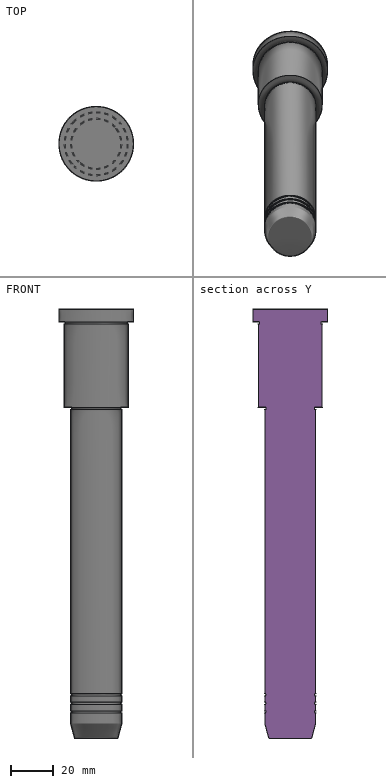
import cadquery as cq
import math

TOTAL_LENGTH = 201.0
HEAD_HEIGHT = 6.0
COLLAR_LENGTH = 40.0

HEAD_DIAMETER = 35.0
COLLAR_DIAMETER = 30.0
SHAFT_DIAMETER = 24.0

GROOVE_RADIUS = 0.5

RELIEF_WIDTH = 1.0
RELIEF_DEPTH = 0.5

OIL_GROOVE_COUNT = 3
OIL_GROOVE_PITCH = 4.0
LOWEST_GROOVE_HEIGHT = 12.5

TIP_LENGTH = 7.0
TIP_ANGLE = 15.0
TIP_FILLET = 0.5

HEAD_BOTTOM = TOTAL_LENGTH - HEAD_HEIGHT
COLLAR_BOTTOM = HEAD_BOTTOM - COLLAR_LENGTH


def make_cylinder(diameter, bottom, top):
    """Solid cylinder on the Z axis between two heights."""
    return cq.Workplane("XY").workplane(offset=bottom).circle(diameter / 2).extrude(top - bottom)


def cut_round_groove(body, diameter, center_height):
    """Cut a half-round groove around a cylindrical section of the given diameter."""
    cutter = (
        cq.Workplane("XZ")
        .center(diameter / 2, center_height)
        .circle(GROOVE_RADIUS)
        .revolve(360, (-diameter / 2, 0, 0), (-diameter / 2, 1, 0))
    )
    return body.cut(cutter)


def cut_square_groove(body, diameter, depth, bottom, width):
    """Cut a square groove around a cylindrical section of the given diameter."""
    ring = make_cylinder(diameter, bottom, bottom + width)
    core = make_cylinder(diameter - 2 * depth, bottom, bottom + width)
    return body.cut(ring.cut(core))


def make_tip():
    """Tapered lead-in, narrowest at the lower end, with a rounded lower edge."""
    shaft_radius = SHAFT_DIAMETER / 2
    tip_radius = shaft_radius - TIP_LENGTH * math.tan(math.radians(TIP_ANGLE))
    cone = (
        cq.Workplane("XZ")
        .lineTo(tip_radius, 0)
        .lineTo(shaft_radius, TIP_LENGTH)
        .lineTo(0, TIP_LENGTH)
        .close()
        .revolve(360, (0, 0, 0), (0, 1, 0))
    )
    return cone.faces("<Z").edges().fillet(TIP_FILLET)


def make_pin():
    """Head, collar, shaft and tip stacked on one axis."""
    head = make_cylinder(HEAD_DIAMETER, HEAD_BOTTOM, TOTAL_LENGTH)
    collar = make_cylinder(COLLAR_DIAMETER, COLLAR_BOTTOM, HEAD_BOTTOM)
    shaft = make_cylinder(SHAFT_DIAMETER, TIP_LENGTH, COLLAR_BOTTOM)
    return head.union(collar).union(shaft).union(make_tip())


def cut_head_relief(body):
    """Cut the half-round relief groove around the collar, directly below the head."""
    return cut_round_groove(body, COLLAR_DIAMETER, HEAD_BOTTOM - GROOVE_RADIUS)


def cut_collar_relief(body):
    """Cut the square relief around the shaft, directly below the collar."""
    bottom = COLLAR_BOTTOM - RELIEF_WIDTH
    return cut_square_groove(body, SHAFT_DIAMETER, RELIEF_DEPTH, bottom, RELIEF_WIDTH)


def cut_oil_grooves(body):
    """Cut the evenly spaced half-round oil grooves above the tip."""
    for index in range(OIL_GROOVE_COUNT):
        center_height = LOWEST_GROOVE_HEIGHT + index * OIL_GROOVE_PITCH
        body = cut_round_groove(body, SHAFT_DIAMETER, center_height)
    return body


pin = make_pin()
pin = cut_head_relief(pin)
pin = cut_collar_relief(pin)
result = cut_oil_grooves(pin)